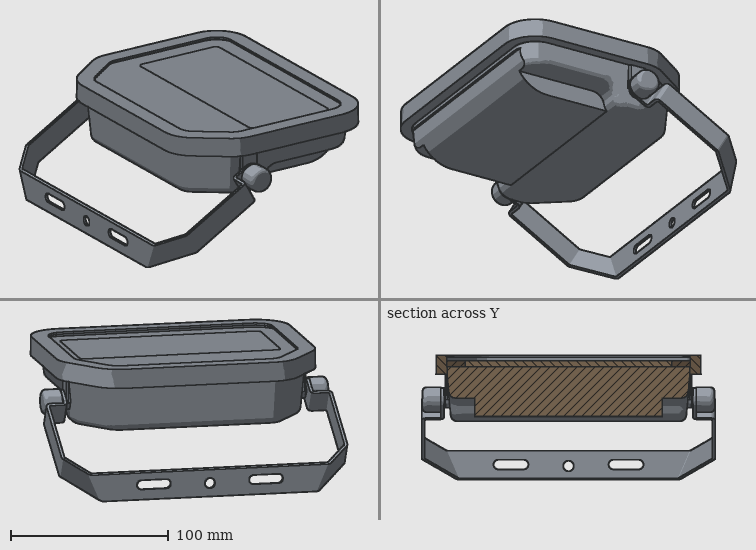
import cadquery as cq
import math


CORE_HALF_WIDTH = 61.8
CORE_BACK_Y = 66.3
CORE_SHOULDER_Y = -3.2
CORE_FRONT_Y = -22.5
CORE_FRONT_HALF_WIDTH = 47.7
FRAME_CORNER_RADIUS = 22.3
HOUSING_INSET = 7.0
RIM_WIDTH = 11.4

FRAME_BOTTOM_Z = 16.0
FRAME_HEIGHT = 12.3
FRAME_DRAFT = 1.0
RIM_THICKNESS = 1.3
GLASS_DEPTH = 3.5
GLASS_THICKNESS = 3.7
PANEL_WIDTH = 130.7
PANEL_LENGTH = 59.8
PANEL_CENTER_Y = 39.1
PANEL_CORNER_RADIUS = 3.2

HOUSING_DRAFT = 5.0
HOUSING_FRONT_BOTTOM_Z = -13.8
HOUSING_BACK_BOTTOM_Z = 1.0
STEP_START_Y = 22.9
STEP_END_Y = 5.5
HOUSING_EDGE_RADIUS = 4.7
HOUSING_BACK_CORNER_RADIUS = 16.4
HOUSING_SHOULDER_RADIUS = 14.9
HOUSING_FRONT_CORNER_RADIUS = 12.1
BELLY_BOTTOM_Z = -10.8
BELLY_HALF_WIDTH = 59.5
BACK_ROUND_Y = 80.0
BACK_ROUND_RADIUS = 24.2
PAD_FACE_X = 78.0
PAD_BASE_X = 76.9
PAD_RADIUS = 5.2
PAD_BASE_HALF_WIDTH = 6.3

BRACKET_TILT = 30.0
BRACKET_HALF_SPAN = 93.1
STRIP_WIDTH = 15.0
STRIP_THICKNESS = 2.0
INNER_BEND_RADIUS = 1.0
OUTER_BEND_RADIUS = INNER_BEND_RADIUS + STRIP_THICKNESS
LUG_INNER_X = 79.0
JOG_Y = -10.0
LEG_BEND_Y = -62.4
WEB_FACE_Y = -72.8
WEB_THICKNESS = 1.7
MOUNT_HOLE_DIAMETER = 6.5
MOUNT_HOLE_Z = -42.0
SLOT_WIDTH = 6.0
SLOT_LENGTH = 22.0
SLOT_CENTER_X = 36.5
SLOT_CENTER_Z = -41.2

KNOB_DIAMETER = 16.0
KNOB_END_X = 92.7
KNOB_EDGE_RADIUS = 3.0
STEM_DIAMETER = 5.8
STEM_HOLE_DIAMETER = 6.0
STEM_DEPTH_IN_HOUSING = 7.5

SIDES = (-1, 1)
FRAME_TOP_Z = FRAME_BOTTOM_Z + FRAME_HEIGHT
GLASS_TOP_Z = FRAME_TOP_Z - GLASS_DEPTH
GLASS_BOTTOM_Z = GLASS_TOP_Z - GLASS_THICKNESS
STEM_END_X = PAD_FACE_X - STEM_DEPTH_IN_HOUSING
LUG_OUTER_X = LUG_INNER_X + STRIP_THICKNESS
TILT_COS = math.cos(math.radians(BRACKET_TILT))
TILT_TAN = math.tan(math.radians(BRACKET_TILT))


def core_polygon(z):
    """Sharp polygon at height z from which the frame, glass and housing outlines grow."""
    right_half = [
        (CORE_HALF_WIDTH, CORE_BACK_Y),
        (CORE_HALF_WIDTH, CORE_SHOULDER_Y),
        (CORE_FRONT_HALF_WIDTH, CORE_FRONT_Y),
    ]
    left_half = [(-x, y) for x, y in reversed(right_half)]
    return cq.Workplane("XY").workplane(offset=z).polyline(right_half + left_half).close()


def outline(z, inset):
    """Rounded lamp outline at height z, set in from the frame's outer edge."""
    return core_polygon(z).offset2D(FRAME_CORNER_RADIUS - inset)


def rod(diameter, start_x, end_x):
    """Round bar on the pivot axis."""
    return cq.Workplane("YZ").workplane(offset=start_x).circle(diameter / 2).extrude(end_x - start_x)


def make_panel():
    """Light panel set through the glass, flush with both its faces."""
    panel = cq.Workplane("XY").workplane(offset=GLASS_BOTTOM_Z).center(0, PANEL_CENTER_Y)
    panel = panel.rect(PANEL_WIDTH, PANEL_LENGTH).extrude(GLASS_THICKNESS)
    return panel.edges("|Z").fillet(PANEL_CORNER_RADIUS)


def make_frame():
    """Drafted cap: a thin rim around the window over a cavity for the glass and housing."""
    body = outline(FRAME_BOTTOM_Z, 0).extrude(FRAME_HEIGHT, taper=FRAME_DRAFT)
    cavity = outline(FRAME_BOTTOM_Z, HOUSING_INSET).extrude(FRAME_HEIGHT - RIM_THICKNESS)
    window = outline(FRAME_BOTTOM_Z, RIM_WIDTH).extrude(FRAME_HEIGHT)
    return body.cut(cavity).cut(window)


def make_glass(panel):
    """Glass plate that fills the frame cavity below the rim and surrounds the panel."""
    return outline(GLASS_BOTTOM_Z, HOUSING_INSET).extrude(GLASS_THICKNESS).cut(panel)


def make_tub():
    """Drafted housing shell, shallow at the back and deep at the front, with an S-shaped step."""
    depth = FRAME_BOTTOM_Z - HOUSING_FRONT_BOTTOM_Z
    sharp_outline = core_polygon(FRAME_BOTTOM_Z).offset2D(FRAME_CORNER_RADIUS - HOUSING_INSET, "intersection")
    tub = sharp_outline.extrude(-depth, taper=HOUSING_DRAFT)
    corners = (
        (CORE_HALF_WIDTH, CORE_BACK_Y, HOUSING_BACK_CORNER_RADIUS),
        (CORE_HALF_WIDTH, CORE_SHOULDER_Y, HOUSING_SHOULDER_RADIUS),
        (CORE_FRONT_HALF_WIDTH, CORE_FRONT_Y, HOUSING_FRONT_CORNER_RADIUS),
    )
    corner_z = FRAME_BOTTOM_Z - depth / 2
    for side in SIDES:
        for x, y, radius in corners:
            nearest = cq.NearestToPointSelector((side * x, y, corner_z))
            tub = tub.edges("not #Z").edges(nearest).fillet(radius)
    middle_y = (STEP_START_Y + STEP_END_Y) / 2
    middle_z = (HOUSING_BACK_BOTTOM_Z + HOUSING_FRONT_BOTTOM_Z) / 2
    back_limit_y = CORE_BACK_Y + FRAME_CORNER_RADIUS
    below_back = (
        cq.Workplane("YZ")
        .moveTo(back_limit_y, HOUSING_BACK_BOTTOM_Z)
        .lineTo(STEP_START_Y, HOUSING_BACK_BOTTOM_Z)
        .tangentArcPoint((middle_y, middle_z), relative=False)
        .tangentArcPoint((STEP_END_Y, HOUSING_FRONT_BOTTOM_Z), relative=False)
        .lineTo(back_limit_y, HOUSING_FRONT_BOTTOM_Z)
        .close()
        .extrude(BRACKET_HALF_SPAN, both=True)
    )
    tub = tub.cut(below_back)
    return tub.faces("<Z").edges("<Y").fillet(HOUSING_EDGE_RADIUS)


def make_belly():
    """Narrower block under the shallow back of the housing."""
    length = BACK_ROUND_Y - STEP_END_Y
    height = FRAME_BOTTOM_Z - BELLY_BOTTOM_Z
    belly = cq.Workplane("XY").box(2 * BELLY_HALF_WIDTH, length, height, centered=(True, False, False))
    return belly.translate((0, STEP_END_Y, BELLY_BOTTOM_Z))


def make_back_round():
    """Cutter that rounds the lower back of the tub and belly together."""
    center_y = BACK_ROUND_Y - BACK_ROUND_RADIUS
    center_z = BELLY_BOTTOM_Z + BACK_ROUND_RADIUS
    corner = cq.Workplane("XY").box(
        2 * BRACKET_HALF_SPAN, 2 * BACK_ROUND_RADIUS, BACK_ROUND_RADIUS, centered=(True, False, False)
    ).translate((0, center_y, BELLY_BOTTOM_Z))
    roller = cq.Workplane("YZ").center(center_y, center_z).circle(BACK_ROUND_RADIUS)
    return corner.cut(roller.extrude(BRACKET_HALF_SPAN, both=True))


def make_pad(side):
    """Pivot pad on the side of the housing: a strip with a round lower end."""
    inner_x = STEM_END_X
    section = [
        (inner_x, -PAD_BASE_HALF_WIDTH),
        (PAD_BASE_X, -PAD_BASE_HALF_WIDTH),
        (PAD_FACE_X, -PAD_RADIUS),
        (PAD_FACE_X, PAD_RADIUS),
        (PAD_BASE_X, PAD_BASE_HALF_WIDTH),
        (inner_x, PAD_BASE_HALF_WIDTH),
    ]
    strip = cq.Workplane("XY").polyline(section).close().extrude(FRAME_BOTTOM_Z)
    pad = strip.union(rod(2 * PAD_RADIUS, inner_x, PAD_FACE_X))
    return pad if side > 0 else pad.mirror("YZ")


def make_housing(knobs):
    """Tub with belly, glass seat and pivot pads, bored for the knob stems."""
    housing = make_tub().union(make_belly()).cut(make_back_round())
    glass_seat = outline(FRAME_BOTTOM_Z, HOUSING_INSET).extrude(GLASS_BOTTOM_Z - FRAME_BOTTOM_Z)
    housing = housing.union(glass_seat)
    for side in SIDES:
        housing = housing.union(make_pad(side))
    for knob in knobs:
        housing = housing.cut(knob)
    return housing


def web_y(z, face_y):
    """Y of a web face at height z; the face stands upright once the bracket is tilted."""
    return face_y / TILT_COS + z * TILT_TAN


def bracket_core(half_span, start_y, bend_y, face_y, bend_radius):
    """Solid bounded by one skin of the strip: legs, 45-degree corners and slanted web."""
    half_width = STRIP_WIDTH / 2
    bottom_y = web_y(-half_width, face_y)
    tip_x = half_span - (bend_y - bottom_y) * TILT_COS
    right_half = [(half_span, start_y), (half_span, bend_y), (tip_x, bottom_y)]
    left_half = [(-x, y) for x, y in reversed(right_half)]
    plan = cq.Workplane("XY").polyline(right_half + left_half).close().extrude(half_width, both=True)
    side_profile = [
        (start_y, -half_width),
        (start_y, half_width),
        (web_y(half_width, face_y), half_width),
        (bottom_y, -half_width),
    ]
    core = plan.intersect(cq.Workplane("YZ").polyline(side_profile).close().extrude(half_span, both=True))
    center_y = web_y(0, face_y)
    center_x = half_span - (bend_y - center_y) * TILT_COS
    for side in SIDES:
        for x, y in ((half_span, start_y), (half_span, bend_y), (center_x, center_y)):
            core = core.edges(cq.NearestToPointSelector((side * x, y, 0))).fillet(bend_radius)
    return core


def make_lug():
    """Flat round-ended ear that carries one knob."""
    length = STRIP_THICKNESS - JOG_Y
    lug = cq.Workplane("YZ").workplane(offset=LUG_INNER_X).center(-length / 2, 0)
    lug = lug.rect(length, STRIP_WIDTH).extrude(STRIP_THICKNESS)
    return lug.union(rod(STRIP_WIDTH, LUG_INNER_X, LUG_OUTER_X))


def make_bracket():
    """Bent strip with two lugs, tilted down about the pivot axis."""
    outer = bracket_core(BRACKET_HALF_SPAN, JOG_Y, LEG_BEND_Y, WEB_FACE_Y, OUTER_BEND_RADIUS)
    corner_shift = STRIP_THICKNESS * math.tan(math.atan(TILT_COS) / 2)
    inner = bracket_core(
        BRACKET_HALF_SPAN - STRIP_THICKNESS,
        JOG_Y - STRIP_THICKNESS,
        LEG_BEND_Y + corner_shift,
        WEB_FACE_Y + WEB_THICKNESS,
        INNER_BEND_RADIUS,
    )
    gap_depth = 2 * (STRIP_THICKNESS - JOG_Y)
    gap_between_lugs = cq.Workplane("XY").box(2 * LUG_INNER_X, gap_depth, STRIP_WIDTH)
    bracket = outer.cut(inner).cut(gap_between_lugs)
    stem_hole = rod(STEM_HOLE_DIAMETER, LUG_INNER_X, LUG_OUTER_X)
    lug = make_lug().cut(stem_hole)
    for side in SIDES:
        bracket = bracket.union(lug if side > 0 else lug.mirror("YZ"))
    for side in SIDES:
        outside_corner = cq.NearestToPointSelector((side * LUG_INNER_X, JOG_Y - STRIP_THICKNESS, 0))
        inside_corner = cq.NearestToPointSelector((side * LUG_OUTER_X, JOG_Y, 0))
        bracket = bracket.edges(outside_corner).fillet(OUTER_BEND_RADIUS)
        bracket = bracket.edges(inside_corner).fillet(INNER_BEND_RADIUS)
    bracket = bracket.rotate((0, 0, 0), (1, 0, 0), BRACKET_TILT)
    return bracket.cut(make_mounting_holes())


def make_mounting_holes():
    """Cutters for the round hole and the two slots in the upright web."""
    plane = cq.Workplane("XZ", origin=(0, WEB_FACE_Y + WEB_THICKNESS, 0))
    hole = plane.center(0, MOUNT_HOLE_Z).circle(MOUNT_HOLE_DIAMETER / 2).extrude(WEB_THICKNESS)
    slot_centers = [(side * SLOT_CENTER_X, SLOT_CENTER_Z) for side in SIDES]
    slots = plane.pushPoints(slot_centers).slot2D(SLOT_LENGTH, SLOT_WIDTH).extrude(WEB_THICKNESS)
    return hole.add(slots).combine()


def make_knob(side):
    """Round-edged head outside the lug, with a stem through the lug into the housing."""
    head = rod(KNOB_DIAMETER, LUG_OUTER_X, KNOB_END_X).faces(">X").edges().fillet(KNOB_EDGE_RADIUS)
    knob = head.union(rod(STEM_DIAMETER, STEM_END_X, LUG_OUTER_X))
    return knob if side > 0 else knob.mirror("YZ")


knobs = [make_knob(side) for side in SIDES]
housing = make_housing(knobs)
frame = make_frame()
panel = make_panel()
glass = make_glass(panel)
bracket = make_bracket()

result = cq.Compound.makeCompound(
    [housing.val(), frame.val(), glass.val(), panel.val(), bracket.val(), *[knob.val() for knob in knobs]]
)